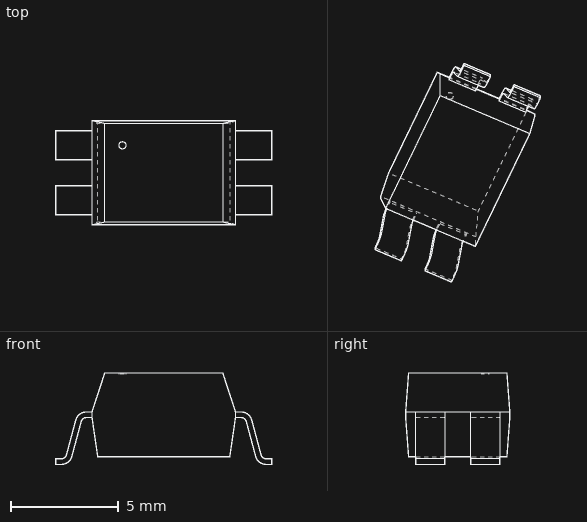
import cadquery as cq
import math


LEAD_SPAN = 10.01
LEAD_THICKNESS = 0.27
LEAD_WIDTH = 1.35
LEAD_PITCH = 2.54
INNER_BEND_RADIUS = 0.24
LEG_SLOPE = 15.0
FOOT_FLAT = 0.26

OVERALL_HEIGHT = 4.24
BAND_LENGTH = 6.66
BAND_WIDTH = 4.83
BAND_BOTTOM = 2.17
BAND_TOP = BAND_BOTTOM + LEAD_THICKNESS
STANDOFF = 0.36
TOP_LENGTH = 5.48
BOTTOM_LENGTH = 6.13
END_WIDTH = 4.56

MARKER_DIAMETER = 0.33
MARKER_DEPTH = 0.05
MARKER_X = -1.91
MARKER_Y = LEAD_PITCH / 2


def tapered_block(lower_z, lower_size, upper_z, upper_size):
    """Block tapering between two centred rectangles."""
    return (
        cq.Workplane("XY", origin=(0, 0, lower_z))
        .rect(*lower_size)
        .workplane(offset=upper_z - lower_z)
        .rect(*upper_size)
        .loft(ruled=True)
    )


def make_marker():
    """Disc flush with the top of the housing."""
    return (
        cq.Workplane("XY", origin=(MARKER_X, MARKER_Y, OVERALL_HEIGHT - MARKER_DEPTH))
        .circle(MARKER_DIAMETER / 2)
        .extrude(MARKER_DEPTH)
    )


def make_housing(marker):
    """Straight middle band with a taper above and below, recessed for the marker."""
    band_size = (BAND_LENGTH, BAND_WIDTH)
    lower = tapered_block(STANDOFF, (BOTTOM_LENGTH, END_WIDTH), BAND_BOTTOM, band_size)
    band = tapered_block(BAND_BOTTOM, band_size, BAND_TOP, band_size)
    upper = tapered_block(BAND_TOP, band_size, OVERALL_HEIGHT, (TOP_LENGTH, END_WIDTH))
    return lower.union(band).union(upper).cut(marker)


def make_left_lead(center_y):
    """Strip swept along the foot, lower bend, sloping leg, upper bend and shoulder."""
    radius = INNER_BEND_RADIUS + LEAD_THICKNESS / 2
    bend_angle = math.radians(90 - LEG_SLOPE)
    foot_z = LEAD_THICKNESS / 2
    shoulder_z = (BAND_BOTTOM + BAND_TOP) / 2

    def bend_offset(angle):
        """Run and rise along a bend after turning by the angle from horizontal."""
        return radius * math.sin(angle), radius * (1 - math.cos(angle))

    run, rise = bend_offset(bend_angle)
    half_run, half_rise = bend_offset(bend_angle / 2)
    leg_rise = shoulder_z - foot_z - 2 * rise
    leg_run = leg_rise * math.tan(math.radians(LEG_SLOPE))

    tip_x = -LEAD_SPAN / 2
    lower_bend_x = tip_x + FOOT_FLAT
    upper_bend_x = lower_bend_x + 2 * run + leg_run
    path = (
        cq.Workplane("XZ", origin=(0, center_y, 0))
        .moveTo(tip_x, foot_z)
        .lineTo(lower_bend_x, foot_z)
        .threePointArc(
            (lower_bend_x + half_run, foot_z + half_rise),
            (lower_bend_x + run, foot_z + rise),
        )
        .lineTo(upper_bend_x - run, shoulder_z - rise)
        .threePointArc(
            (upper_bend_x - half_run, shoulder_z - half_rise),
            (upper_bend_x, shoulder_z),
        )
        .lineTo(-BAND_LENGTH / 2, shoulder_z)
    )
    return (
        cq.Workplane("YZ", origin=(tip_x, center_y, foot_z))
        .rect(LEAD_WIDTH, LEAD_THICKNESS)
        .sweep(path)
    )


marker = make_marker()
housing = make_housing(marker)

leads = []
for lead_y in (-LEAD_PITCH / 2, LEAD_PITCH / 2):
    left_lead = make_left_lead(lead_y)
    leads.append(left_lead.val())
    leads.append(left_lead.mirror("YZ").val())

result = cq.Compound.makeCompound([housing.val(), marker.val(), *leads])